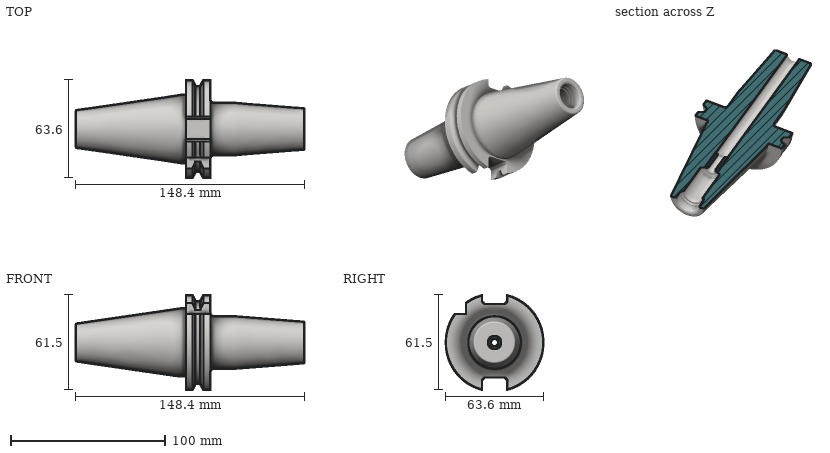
import cadquery as cq
import math

TOTAL_LENGTH = 148.4
GAUGE_X = 68.4
FLANGE_X = 71.5
FLANGE_WIDTH = 15.9
NECK_END_X = 103.7

GAUGE_RADIUS = 22.3
TAPER_SLOPE = 7 / 48
TAPER_END_FILLET = 1.2
NECK_RADIUS = 17.0
NECK_FILLET = 2.1
NOSE_RADIUS = 13.5
NOSE_FILLET = 1.0

FLANGE_RADIUS = 31.8
GROOVE_CENTRE_X = 79.2
GROOVE_MOUTH = 7.1
GROOVE_DEPTH = 3.7
GROOVE_HALF_ANGLE = 30.0
GROOVE_FLOOR_WIDTH = 3.5
GROOVE_FILLET = 0.3
SLOT_WIDTH = 16.2
SLOT_CHAMFER = 1.5
UPPER_SLOT_FLOOR = 25.1
LOWER_SLOT_FLOOR = 22.9
NOTCH_OFFSET = 18.5
CUT_CLEARANCE = 1.5

MOUTH_RADIUS = 9.5
MOUTH_CHAMFER_DEPTH = 0.6
COUNTERBORE_RADIUS = 8.5
COUNTERBORE_DEPTH = 6.2
RELIEF_RADIUS = 7.9
RELIEF_DEPTH = 8.0
DRAWBAR_RADIUS = 6.8
DRAWBAR_DEPTH = 32.0
DRILL_HALF_ANGLE = 60.0
SCREW_RADIUS = 4.3

SCREW_LENGTH = 14.8
SCREW_HOLE_RADIUS = 2.4
SCREW_COUNTERSINK = 0.9

taper_end_radius = GAUGE_RADIUS - GAUGE_X * TAPER_SLOPE
flange_end_x = FLANGE_X + FLANGE_WIDTH
cone_length = (DRAWBAR_RADIUS - SCREW_RADIUS) / math.tan(math.radians(DRILL_HALF_ANGLE))
screw_start_x = DRAWBAR_DEPTH + cone_length


def revolve_profile(points):
    """Solid of revolution about the X axis from (x, radius) points."""
    return cq.Workplane("XZ").polyline(points).close().revolve(360, (0, 0, 0), (1, 0, 0))


def make_shank():
    """Taper and gauge cylinder, with the rounded small end."""
    shank = revolve_profile([
        (0, 0),
        (0, taper_end_radius),
        (GAUGE_X, GAUGE_RADIUS),
        (flange_end_x, GAUGE_RADIUS),
        (flange_end_x, 0),
    ])
    return shank.faces("<X").edges().fillet(TAPER_END_FILLET)


def make_nose():
    """Neck with a fillet against the flange, then the tapered nose."""
    fillet_mid = NECK_FILLET * (1 - math.sqrt(0.5))
    return (
        cq.Workplane("XZ")
        .moveTo(flange_end_x, 0)
        .lineTo(flange_end_x, NECK_RADIUS + NECK_FILLET)
        .threePointArc(
            (flange_end_x + fillet_mid, NECK_RADIUS + fillet_mid),
            (flange_end_x + NECK_FILLET, NECK_RADIUS),
        )
        .lineTo(NECK_END_X, NECK_RADIUS)
        .lineTo(TOTAL_LENGTH, NOSE_RADIUS)
        .lineTo(TOTAL_LENGTH, 0)
        .close()
        .revolve(360, (0, 0, 0), (1, 0, 0))
        .faces(">X").edges().fillet(NOSE_FILLET)
    )


def make_groove_flange():
    """Flange disc with its V groove, whose flanks end in short walls rounded into the floor."""
    floor_radius = FLANGE_RADIUS - GROOVE_DEPTH
    half_mouth = GROOVE_MOUTH / 2
    half_floor = GROOVE_FLOOR_WIDTH / 2
    flank_depth = (half_mouth - half_floor) / math.tan(math.radians(GROOVE_HALF_ANGLE))
    flank_end_radius = FLANGE_RADIUS - flank_depth
    flange = revolve_profile([
        (FLANGE_X, 0),
        (FLANGE_X, FLANGE_RADIUS),
        (GROOVE_CENTRE_X - half_mouth, FLANGE_RADIUS),
        (GROOVE_CENTRE_X - half_floor, flank_end_radius),
        (GROOVE_CENTRE_X - half_floor, floor_radius),
        (GROOVE_CENTRE_X + half_floor, floor_radius),
        (GROOVE_CENTRE_X + half_floor, flank_end_radius),
        (GROOVE_CENTRE_X + half_mouth, FLANGE_RADIUS),
        (flange_end_x, FLANGE_RADIUS),
        (flange_end_x, 0),
    ])
    floor_edges = cq.selectors.RadiusNthSelector(0)
    return flange.edges("%CIRCLE").edges(floor_edges).fillet(GROOVE_FILLET)


def make_drive_slot(floor_distance, side):
    """Cutter for a drive slot on the +Z (side=1) or -Z (side=-1) rim, with chamfered floor corners."""
    half_width = SLOT_WIDTH / 2
    floor_z = side * floor_distance
    chamfer_z = side * (floor_distance + SLOT_CHAMFER)
    open_z = side * (FLANGE_RADIUS + CUT_CLEARANCE)
    return (
        cq.Workplane("YZ", origin=(FLANGE_X, 0, 0))
        .polyline([
            (-half_width, open_z),
            (-half_width, chamfer_z),
            (-half_width + SLOT_CHAMFER, floor_z),
            (half_width - SLOT_CHAMFER, floor_z),
            (half_width, chamfer_z),
            (half_width, open_z),
        ])
        .close()
        .extrude(FLANGE_WIDTH)
    )


def make_notch():
    """Cutter for the square orientation notch in the -Y, +Z quarter of the rim."""
    return cq.Workplane("XY").box(FLANGE_WIDTH, FLANGE_RADIUS, FLANGE_RADIUS, centered=False).translate(
        (FLANGE_X, -NOTCH_OFFSET - FLANGE_RADIUS, NOTCH_OFFSET)
    )


def make_bore():
    """Cutter for the stepped through bore."""
    return revolve_profile([
        (0, 0),
        (0, MOUTH_RADIUS),
        (MOUTH_CHAMFER_DEPTH, COUNTERBORE_RADIUS),
        (COUNTERBORE_DEPTH, COUNTERBORE_RADIUS),
        (COUNTERBORE_DEPTH, RELIEF_RADIUS),
        (RELIEF_DEPTH, RELIEF_RADIUS),
        (RELIEF_DEPTH, DRAWBAR_RADIUS),
        (DRAWBAR_DEPTH, DRAWBAR_RADIUS),
        (screw_start_x, SCREW_RADIUS),
        (TOTAL_LENGTH, SCREW_RADIUS),
        (TOTAL_LENGTH, 0),
    ])


def make_holder():
    """Tool holder: shank, flange and nose in one piece, bored through."""
    flange = make_groove_flange()
    flange = flange.cut(make_drive_slot(UPPER_SLOT_FLOOR, 1))
    flange = flange.cut(make_drive_slot(LOWER_SLOT_FLOOR, -1))
    flange = flange.cut(make_notch())
    return make_shank().union(flange).union(make_nose()).cut(make_bore())


def make_stop_screw():
    """Hollow stop screw seated at the inner end of the drawbar bore."""
    return revolve_profile([
        (screw_start_x, SCREW_HOLE_RADIUS + SCREW_COUNTERSINK),
        (screw_start_x, SCREW_RADIUS),
        (screw_start_x + SCREW_LENGTH, SCREW_RADIUS),
        (screw_start_x + SCREW_LENGTH, SCREW_HOLE_RADIUS),
        (screw_start_x + SCREW_COUNTERSINK, SCREW_HOLE_RADIUS),
    ])


holder = make_holder()
stop_screw = make_stop_screw()

result = cq.Compound.makeCompound([holder.val(), stop_screw.val()])